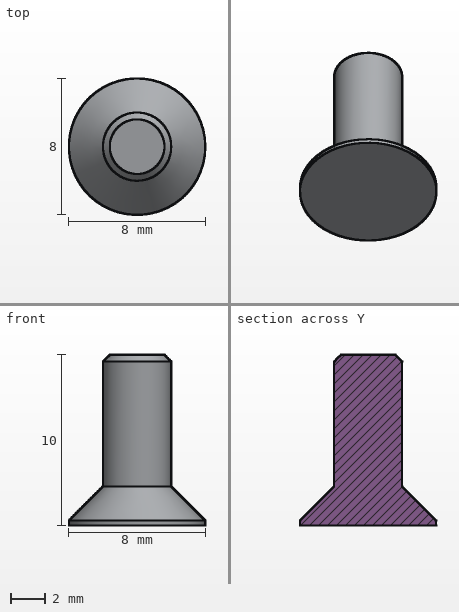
import cadquery as cq

total_length = 10.0
head_radius = 4.0
shank_radius = 2.0
rim_height = 0.3
tip_chamfer = 0.4

cone_top = rim_height + (head_radius - shank_radius)

profile = [
    (0, 0),
    (head_radius, 0),
    (head_radius, rim_height),
    (shank_radius, cone_top),
    (shank_radius, total_length - tip_chamfer),
    (shank_radius - tip_chamfer, total_length),
    (0, total_length),
]

result = cq.Workplane("XZ").polyline(profile).close().revolve(360, (0, 0, 0), (0, 1, 0))